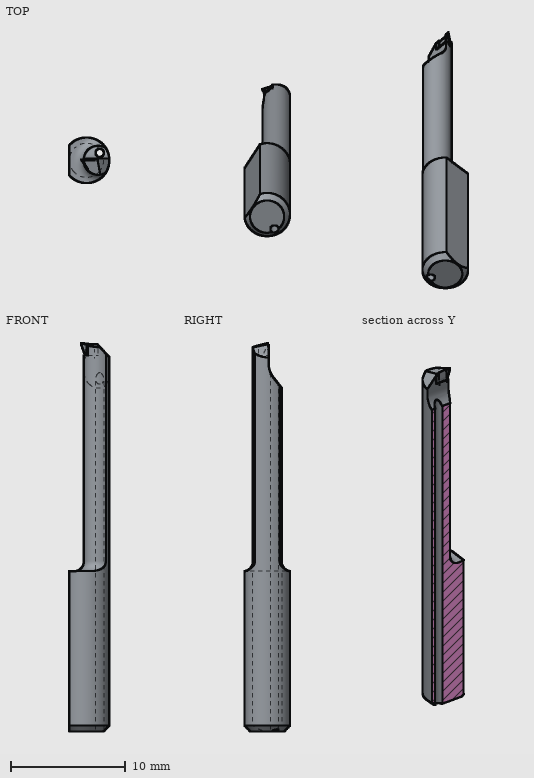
import cadquery as cq
import math

total_length = 34.0
shank_radius = 2.0
flat_x = -1.53
shank_length = 14.05
base_chamfer_height = 0.55
base_chamfer_width = 0.5

neck_radius = 1.275
neck_x = 1.02
neck_fillet = 0.8

coolant_diameter = 0.7
coolant_x = 1.15
coolant_y = 0.65

face_y = 0.15
runout_start_z = 32.15
runout_radius = 1.95
runout_angle = math.radians(38.5)

tip_x = -0.48
tip_y = 0.07
tip_bottom_z = 32.9
tip_root_x = -0.15
tip_land_height = 0.15
relief_end_x = 0.15
relief_end_y = -0.78
end_relief_angle = 11.0
back_slope_angle = 4.5
back_chamfer_x = 0.95
back_chamfer_z = 32.75

groove_start_x = -0.1
groove_end_x = 0.7
groove_y = -0.05
groove_bottom_z = 32.7

margin = 3.4


def make_shank():
    shank = cq.Workplane("XY").circle(shank_radius).extrude(total_length)
    cone_edge = (
        cq.Workplane("XZ")
        .moveTo(shank_radius - base_chamfer_width, 0)
        .lineTo(shank_radius, 0)
        .lineTo(shank_radius, base_chamfer_height)
        .close()
        .revolve(360, (0, 0, 0), (0, 1, 0))
    )
    flat_keeper = cq.Workplane("XY").box(
        2 * margin, 4 * margin, total_length, centered=(False, True, False)
    ).translate((flat_x, 0, 0))
    return shank.cut(cone_edge).intersect(flat_keeper)


def make_neck_envelope():
    """Neck cylinder flaring through a concave fillet onto a wide base."""
    base_radius = 2 * margin
    fillet_outer = neck_radius + neck_fillet
    fillet_top = shank_length + neck_fillet
    mid_offset = neck_fillet * (1 - math.sqrt(0.5))
    profile = (
        cq.Workplane("XZ")
        .lineTo(base_radius, 0)
        .lineTo(base_radius, shank_length)
        .lineTo(fillet_outer, shank_length)
        .threePointArc(
            (neck_radius + mid_offset, shank_length + mid_offset),
            (neck_radius, fillet_top),
        )
        .lineTo(neck_radius, total_length)
        .lineTo(0, total_length)
        .close()
    )
    return profile.revolve(360, (0, 0, 0), (0, 1, 0)).translate((neck_x, 0, 0))


def make_face_cut():
    """Flat cutting face that runs out through an arc and a slope."""
    def arc_point(angle):
        return (
            face_y + runout_radius * (1 - math.cos(angle)),
            runout_start_z - runout_radius * math.sin(angle),
        )

    slope_start = arc_point(runout_angle)
    slope_end = (
        slope_start[0] + margin * math.sin(runout_angle),
        slope_start[1] - margin * math.cos(runout_angle),
    )
    return (
        cq.Workplane("YZ")
        .moveTo(face_y, total_length + margin)
        .lineTo(face_y, runout_start_z)
        .threePointArc(arc_point(runout_angle / 2), slope_start)
        .lineTo(*slope_end)
        .lineTo(slope_end[0], total_length + margin)
        .close()
        .extrude(2 * margin, both=True)
    )


def make_tip():
    """Pointed tip: a triangular plan trimmed by an undercut side profile."""
    plan = (
        cq.Workplane("XY")
        .polyline([
            (tip_x, tip_y),
            (relief_end_x, relief_end_y),
            (neck_x, relief_end_y),
            (neck_x, tip_y),
        ])
        .close()
        .extrude(total_length)
    )
    side = (
        cq.Workplane("XZ")
        .polyline([
            (tip_x, total_length),
            (tip_x, total_length - tip_land_height),
            (tip_root_x, tip_bottom_z),
            (neck_x, tip_bottom_z),
            (neck_x, total_length),
        ])
        .close()
        .extrude(margin, both=True)
    )
    return plan.intersect(side)


def make_relief_cut():
    """Clears the neck around the slanted flank and undercut of the tip."""
    return (
        cq.Workplane("XY", origin=(0, 0, tip_bottom_z))
        .polyline([
            (tip_x, tip_y),
            (tip_root_x, tip_y),
            (relief_end_x, relief_end_y),
            (tip_x, relief_end_y),
        ])
        .close()
        .extrude(margin)
    )


def make_rake_pocket():
    """Lowers the cutting face on the tip's half of the neck."""
    return cq.Workplane("XY").box(margin, margin, margin, centered=False).translate(
        (neck_x - margin, tip_y, tip_bottom_z)
    )


def make_chip_groove():
    """Wedge that is deepest at the end face and runs out down the neck."""
    return (
        cq.Workplane("YZ", origin=(groove_start_x, 0, 0))
        .polyline([
            (groove_y, total_length),
            (face_y, groove_bottom_z),
            (face_y, total_length),
        ])
        .close()
        .extrude(groove_end_x - groove_start_x)
    )


def make_end_cut():
    """End face falling away from the tip toward -Y and +X."""
    return (
        cq.Workplane("XY")
        .box(4 * margin, 4 * margin, margin, centered=(True, True, False))
        .rotate((0, 0, 0), (1, 0, 0), end_relief_angle)
        .rotate((0, 0, 0), (0, 1, 0), back_slope_angle)
        .translate((tip_x, tip_y, total_length))
    )


def make_back_chamfer():
    end_z = total_length - (back_chamfer_x - tip_x) * math.tan(math.radians(back_slope_angle))
    run = shank_radius - back_chamfer_x
    drop = end_z - back_chamfer_z
    return (
        cq.Workplane("XZ")
        .polyline([
            (back_chamfer_x - run, end_z + drop),
            (shank_radius + run, back_chamfer_z - drop),
            (shank_radius + run, end_z + drop),
        ])
        .close()
        .extrude(margin, both=True)
    )


coolant_hole = (
    cq.Workplane("XY")
    .center(coolant_x, coolant_y)
    .circle(coolant_diameter / 2)
    .extrude(total_length)
)

body = make_shank().intersect(make_neck_envelope())
body = body.cut(make_face_cut()).cut(make_rake_pocket()).cut(make_relief_cut())
body = body.union(make_tip()).cut(make_chip_groove())
result = body.cut(make_end_cut()).cut(make_back_chamfer()).cut(coolant_hole)